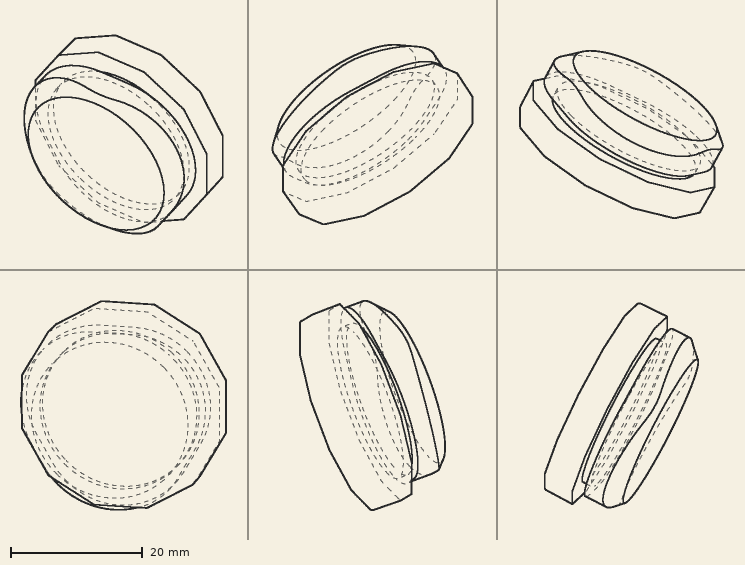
import cadquery as cq
import math

across_flats = 30.88
side_count = 12
overall_depth = 12.0
grip_depth = 5.0
neck_depth = 1.5
neck_diameter = 24.5
grip_draft = 1.0
grip_rounding = 0.5
lobe_count = 3
lobe_flat_distance = 13.3
lobe_flat_length = 5.15

head_depth = overall_depth - grip_depth - neck_depth
grip_start = head_depth + neck_depth


def polar(radius, angle):
    """Point on the local XZ plane at an angle in degrees from +X."""
    return (radius * math.cos(math.radians(angle)), radius * math.sin(math.radians(angle)))


def plane_facing_back(y):
    """Sketch plane at depth y with local axes -X and Z, extruding towards +Y."""
    return cq.Workplane(cq.Plane(origin=(0, y, 0), xDir=(-1, 0, 0), normal=(0, 1, 0)))


def lobed_head():
    """Head with three flats joined by tangent arcs, under a 45 degree conical nose."""
    sector = 360 / lobe_count
    lobe_offset = lobe_flat_length / 2 / math.sin(math.radians(sector / 2))
    lobe_radius = lobe_flat_distance - lobe_offset * math.cos(math.radians(sector / 2))
    lobe_reach = lobe_offset + lobe_radius
    flat_end_radius = math.hypot(lobe_flat_distance, lobe_flat_length / 2)
    half_flat_angle = math.degrees(math.atan2(lobe_flat_length / 2, lobe_flat_distance))

    flat_middle = 90
    outline = plane_facing_back(0).moveTo(*polar(flat_end_radius, flat_middle - half_flat_angle))
    for i in range(lobe_count):
        middle = flat_middle + i * sector
        outline = outline.lineTo(*polar(flat_end_radius, middle + half_flat_angle))
        outline = outline.threePointArc(
            polar(lobe_reach, middle + sector / 2),
            polar(flat_end_radius, middle + sector - half_flat_angle),
        )
    prism = outline.close().extrude(head_depth)

    nose_radius = neck_diameter / 2
    cone = (
        cq.Workplane("XY")
        .lineTo(nose_radius, 0)
        .lineTo(nose_radius + head_depth, head_depth)
        .lineTo(0, head_depth)
        .close()
        .revolve(360, (0, 0, 0), (0, 1, 0))
    )
    return prism.intersect(cone)


def neck():
    """Round neck between the head and the grip."""
    return plane_facing_back(head_depth).circle(neck_diameter / 2).extrude(neck_depth)


def grip():
    """Twelve-sided grip, tapering to the back, with rounded corners and back rim."""
    corner_circle = across_flats / math.cos(math.pi / side_count)
    body = (
        plane_facing_back(grip_start)
        .transformed(rotate=(0, 0, 180 / side_count))
        .polygon(side_count, corner_circle)
        .extrude(grip_depth, taper=grip_draft)
    )
    body = body.edges("not(<Y or >Y)").fillet(grip_rounding)
    return body.faces(">Y").edges().fillet(grip_rounding)


result = lobed_head().union(neck()).union(grip())